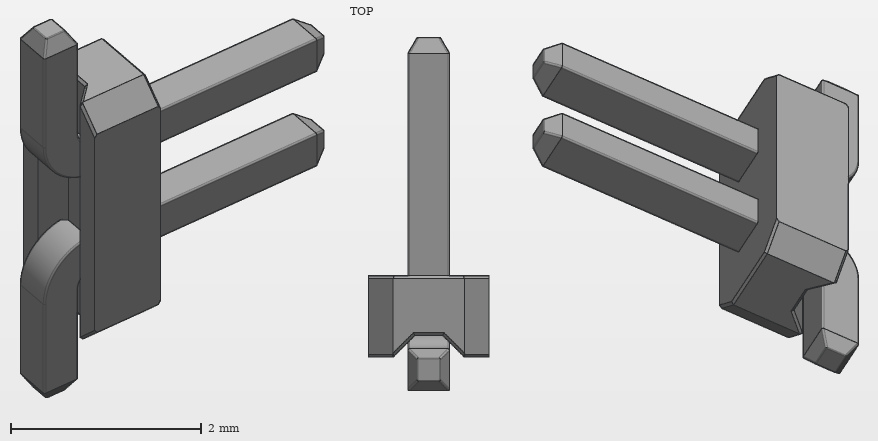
import cadquery as cq

OVERALL_DEPTH = 3.71
OVERALL_HEIGHT = 4.83

HOUSING_WIDTH = 1.27
HOUSING_DEPTH = 0.855
HOUSING_HEIGHT = 3.185
CORNER_CHAMFER = 0.26
HOUSING_EDGE_CHAMFER = 0.03

GROOVE_DEPTH = 0.225
GROOVE_MOUTH = HOUSING_WIDTH - 2 * CORNER_CHAMFER
GROOVE_FLOOR = GROOVE_MOUTH - 2 * GROOVE_DEPTH

PIN_COUNT = 2
PIN_SIZE = 0.44
PIN_PITCH = HOUSING_WIDTH
PIN_EDGE_RADIUS = 0.02
PIN_FRONT_OVERHANG = 0.355
BEND_OUTER_RADIUS = 0.638
BEND_RADIUS = BEND_OUTER_RADIUS - PIN_SIZE / 2
TIP_LENGTH = 0.17
TIP_SIZE = 0.24
TIP_END_RADIUS = 0.015

PIN_FRONT_Y = -HOUSING_DEPTH - PIN_FRONT_OVERHANG
PIN_BACK_Y = PIN_FRONT_Y + OVERALL_DEPTH
LEG_AXIS_Y = PIN_FRONT_Y + PIN_SIZE / 2
BEND_START_Y = LEG_AXIS_Y + BEND_RADIUS
POST_AXIS_Z = PIN_PITCH / 2
BEND_END_Z = POST_AXIS_Z + BEND_RADIUS
LEG_END_Z = OVERALL_HEIGHT / 2


def rounded_square(size):
    """Sketch of a pin cross-section, centred on its origin."""
    return cq.Sketch().rect(size, size).vertices().fillet(PIN_EDGE_RADIUS)


def tapered_bar(start, direction, length):
    """Straight length of pin that ends in a four-sided tapered tip."""
    plane = cq.Plane(origin=start, xDir=(1, 0, 0), normal=direction)
    shank_length = length - TIP_LENGTH
    shank = cq.Workplane(plane).placeSketch(rounded_square(PIN_SIZE)).extrude(shank_length)
    tip_end = rounded_square(TIP_SIZE).moved(cq.Location(cq.Vector(0, 0, TIP_LENGTH)))
    tip = (
        cq.Workplane(plane)
        .workplane(offset=shank_length)
        .placeSketch(rounded_square(PIN_SIZE), tip_end)
        .loft(ruled=True)
    )
    end_face = cq.selectors.DirectionMinMaxSelector(cq.Vector(*direction))
    tip = tip.faces(end_face).edges().fillet(TIP_END_RADIUS)
    return shank.union(tip)


def make_upper_pin():
    """Post pointing back, quarter bend, and leg pointing up."""
    bend_start = (0, BEND_START_Y, POST_AXIS_Z)
    bend_end = (0, LEG_AXIS_Y, BEND_END_Z)
    post = tapered_bar(bend_start, (0, 1, 0), PIN_BACK_Y - BEND_START_Y)
    leg = tapered_bar(bend_end, (0, 0, 1), LEG_END_Z - BEND_END_Z)

    bend_plane = cq.Plane(origin=bend_start, xDir=(1, 0, 0), normal=(0, -1, 0))
    bend = (
        cq.Workplane(bend_plane)
        .placeSketch(rounded_square(PIN_SIZE))
        .revolve(90, (0, BEND_RADIUS, 0), (-1, BEND_RADIUS, 0))
    )
    return post.union(bend).union(leg)


def make_pins():
    """The upper pin and its copy turned half a turn about Y, with the leg pointing down."""
    upper_pin = make_upper_pin()
    return [upper_pin.rotate((0, 0, 0), (0, 1, 0), 360 / PIN_COUNT * i) for i in range(PIN_COUNT)]


def make_groove():
    """Trapezoidal bar that is removed from the full height of the housing front."""
    return (
        cq.Workplane("XY", origin=(0, -HOUSING_DEPTH, -HOUSING_HEIGHT / 2))
        .moveTo(-GROOVE_MOUTH / 2, 0)
        .lineTo(GROOVE_MOUTH / 2, 0)
        .lineTo(GROOVE_FLOOR / 2, GROOVE_DEPTH)
        .lineTo(-GROOVE_FLOOR / 2, GROOVE_DEPTH)
        .close()
        .extrude(HOUSING_HEIGHT)
    )


def make_housing(pins):
    """Grooved block with chamfered corners and one matching hole for each pin."""
    block = (
        cq.Workplane("XZ")
        .rect(HOUSING_WIDTH, HOUSING_HEIGHT)
        .extrude(HOUSING_DEPTH)
        .edges("|Y")
        .chamfer(CORNER_CHAMFER)
    )
    housing = block.cut(make_groove())

    housing = housing.edges("not(|Y or |Z)").chamfer(HOUSING_EDGE_CHAMFER)
    for pin in pins:
        housing = housing.cut(pin)
    return housing


pins = make_pins()
housing = make_housing(pins)
result = cq.Compound.makeCompound([housing.solids().val(), *[pin.solids().val() for pin in pins]])